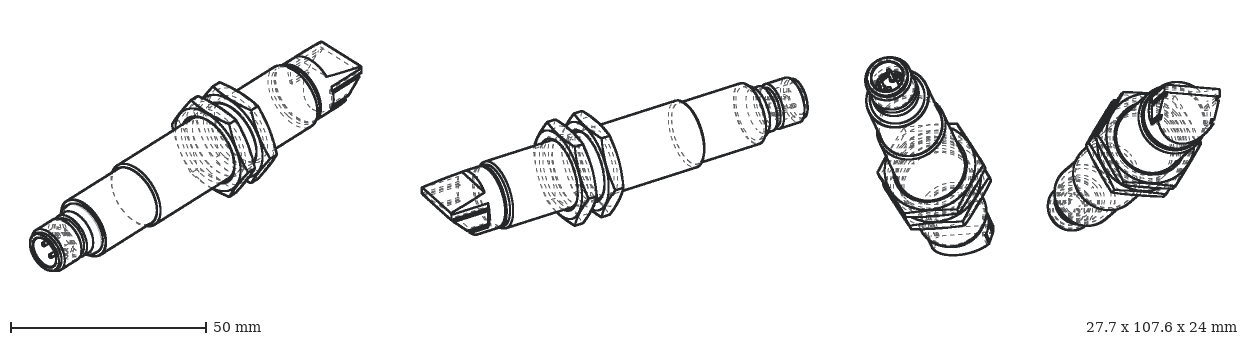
import cadquery as cq
import math

Y_FRONT = -53.8
Y_TIP = 53.8

BARREL_DIA = 18.0
BARREL_START = -20.7
BARREL_END = 36.3
BARREL_CHAMFER = 0.5

SLEEVE_DIA = 16.4
SLEEVE_START = -39.7
SLEEVE_CHAMFER = 0.1

COLLAR_DIA = 14.2
COLLAR_ROUND_START = -40.4
COLLAR_ROUND_RADIUS = 1.9

CONNECTOR_DIA = 12.0
RELIEF_DIA = 10.5
RELIEF_START = -45.7
RELIEF_END = -44.7
RELIEF_FRONT_CHAMFER = 0.5
RELIEF_BACK_CHAMFER = 0.3
TIP_DIA = 10.5
TIP_STEP = -52.8
TIP_CHAMFER = 0.4

SOCKET_DIA = 8.3
SOCKET_FLOOR_DIA = 7.0
SOCKET_SHOULDER_DEPTH = 6.5
SOCKET_MOUTH_DIA = 8.6
SOCKET_DEPTH = 7.5
PIN_DIA = 1.0
PIN_COLLAR_DIA = 1.5
PIN_COLLAR_HEIGHT = 0.5
PIN_CIRCLE_RADIUS = 2.5
PIN_COUNT = 4
PIN_SETBACK = 2.2

HEAD_DIA = 16.6
HEAD_GROOVE_DIA = 16.4
HEAD_GROOVE_START = 37.8
HEAD_GROOVE_END = 38.2
BLADE_START = 42.8
BLADE_WIDTH = 14.8
BLADE_ROOT_TOP = 6.0
BLADE_TIP_TOP = 4.1
BLADE_TIP_BOTTOM = 2.0
SIDE_GROOVE_WIDTH = 0.9
SIDE_GROOVE_DEPTH = 0.8
SIDE_GROOVE_HEIGHTS = (1.7, -3.1)

NUT_ACROSS_FLATS = 24.0
NUT_THICKNESS = 4.0
NUT_STARTS = (5.5, 13.5)
NUT_FACE_DIA = 23.7
NUT_CORNER_DROP = 0.8
NUT_BORE_CHAMFER = 0.6


def revolve_about_y(profile):
    """Revolve a closed (radius, y) profile drawn in the XY plane about the Y axis."""
    return profile.close().revolve(360, (0, 0, 0), (0, 1, 0))


def cylinder_along_y(diameter, start, end):
    return cq.Workplane("XZ", origin=(0, start, 0)).circle(diameter / 2).extrude(start - end)


def turned_blank():
    """Full turned shape, with the head still a plain cylinder."""
    collar_r = COLLAR_DIA / 2
    connector_r = CONNECTOR_DIA / 2
    relief_r = RELIEF_DIA / 2
    tip_r = TIP_DIA / 2
    barrel_r = BARREL_DIA / 2
    sleeve_r = SLEEVE_DIA / 2
    head_r = HEAD_DIA / 2
    groove_r = HEAD_GROOVE_DIA / 2
    drop = collar_r - connector_r
    sweep = math.acos(1 - drop / COLLAR_ROUND_RADIUS)

    def shoulder(angle):
        radius = collar_r - COLLAR_ROUND_RADIUS * (1 - math.cos(angle))
        return (radius, COLLAR_ROUND_START - COLLAR_ROUND_RADIUS * math.sin(angle))

    profile = (
        cq.Workplane("XY")
        .moveTo(0, Y_FRONT)
        .lineTo(tip_r, Y_FRONT)
        .lineTo(tip_r, TIP_STEP)
        .lineTo(connector_r, TIP_STEP + TIP_CHAMFER)
        .lineTo(connector_r, RELIEF_START - RELIEF_FRONT_CHAMFER)
        .lineTo(relief_r, RELIEF_START)
        .lineTo(relief_r, RELIEF_END)
        .lineTo(connector_r, RELIEF_END + RELIEF_BACK_CHAMFER)
        .lineTo(*shoulder(sweep))
        .threePointArc(shoulder(sweep / 2), shoulder(0))
        .lineTo(collar_r, SLEEVE_START)
        .lineTo(sleeve_r - SLEEVE_CHAMFER, SLEEVE_START)
        .lineTo(sleeve_r, SLEEVE_START + SLEEVE_CHAMFER)
        .lineTo(sleeve_r, BARREL_START - BARREL_CHAMFER)
        .lineTo(head_r, BARREL_START - BARREL_CHAMFER)
        .lineTo(barrel_r, BARREL_START)
        .lineTo(barrel_r, BARREL_END)
        .lineTo(head_r, BARREL_END + BARREL_CHAMFER)
        .lineTo(head_r, HEAD_GROOVE_START)
        .lineTo(groove_r, HEAD_GROOVE_START)
        .lineTo(groove_r, HEAD_GROOVE_END)
        .lineTo(head_r, HEAD_GROOVE_END)
        .lineTo(head_r, Y_TIP)
        .lineTo(0, Y_TIP)
    )
    return revolve_about_y(profile)


def cut_blade(body):
    """Shape the head into a blade: sloped top, 45 degree underside, flat sides."""
    head_r = HEAD_DIA / 2
    slope_run = head_r + BLADE_TIP_BOTTOM
    top_waste = (
        cq.Workplane("YZ")
        .polyline([
            (BLADE_START, BLADE_ROOT_TOP),
            (Y_TIP, BLADE_TIP_TOP),
            (Y_TIP, head_r),
            (BLADE_START, head_r),
        ])
        .close()
        .extrude(head_r, both=True)
    )
    bottom_waste = (
        cq.Workplane("YZ")
        .polyline([
            (Y_TIP, BLADE_TIP_BOTTOM),
            (Y_TIP, -head_r),
            (Y_TIP - slope_run, -head_r),
        ])
        .close()
        .extrude(head_r, both=True)
    )
    body = body.cut(top_waste).cut(bottom_waste)

    blade_length = Y_TIP - BLADE_START
    blade_middle = (Y_TIP + BLADE_START) / 2
    for side in (-1, 1):
        flat_waste = (
            cq.Workplane("XY")
            .box(BLADE_WIDTH, blade_length, HEAD_DIA)
            .translate((side * BLADE_WIDTH, blade_middle, 0))
        )
        body = body.cut(flat_waste)
        for height in SIDE_GROOVE_HEIGHTS:
            groove = (
                cq.Workplane("XY")
                .box(2 * SIDE_GROOVE_DEPTH, blade_length, SIDE_GROOVE_WIDTH)
                .translate((side * BLADE_WIDTH / 2, blade_middle, height))
            )
            body = body.cut(groove)
    return body


def cut_socket(body):
    """Bore the connector socket with its countersunk mouth."""
    mouth_r = SOCKET_MOUTH_DIA / 2
    bore_r = SOCKET_DIA / 2
    floor_r = SOCKET_FLOOR_DIA / 2
    shoulder_y = Y_FRONT + SOCKET_SHOULDER_DEPTH
    floor_y = Y_FRONT + SOCKET_DEPTH
    profile = (
        cq.Workplane("XY")
        .moveTo(0, Y_FRONT)
        .lineTo(mouth_r, Y_FRONT)
        .lineTo(bore_r, Y_FRONT + mouth_r - bore_r)
        .lineTo(bore_r, shoulder_y)
        .lineTo(floor_r, shoulder_y)
        .lineTo(floor_r, floor_y)
        .lineTo(0, floor_y)
    )
    return body.cut(revolve_about_y(profile))


def add_pins(body):
    """Contact pins stand on the socket floor and are part of the sensor body."""
    floor_y = Y_FRONT + SOCKET_DEPTH
    root_y = floor_y + PIN_DIA
    collar = cylinder_along_y(PIN_COLLAR_DIA, floor_y - PIN_COLLAR_HEIGHT, root_y)
    pin = cylinder_along_y(PIN_DIA, Y_FRONT + PIN_SETBACK, root_y).union(collar)
    pin = pin.translate((PIN_CIRCLE_RADIUS, 0, 0))
    for index in range(PIN_COUNT):
        body = body.union(pin.rotate((0, 0, 0), (0, 1, 0), index * 360 / PIN_COUNT))
    return body


def make_sensor():
    return add_pins(cut_socket(cut_blade(turned_blank())))


def make_nut(start):
    """Hexagon nut with chamfered corners and a countersunk bore, corners on the X axis."""
    corner_r = NUT_ACROSS_FLATS / math.sqrt(3)
    face_r = NUT_FACE_DIA / 2
    bore_r = BARREL_DIA / 2
    sink_r = bore_r + NUT_BORE_CHAMFER
    end = start + NUT_THICKNESS
    prism = (
        cq.Workplane("XZ", origin=(0, start, 0))
        .polygon(6, 2 * corner_r)
        .extrude(-NUT_THICKNESS)
    )
    ring = revolve_about_y(
        cq.Workplane("XY")
        .moveTo(sink_r, start)
        .lineTo(face_r, start)
        .lineTo(corner_r, start + NUT_CORNER_DROP)
        .lineTo(corner_r, end - NUT_CORNER_DROP)
        .lineTo(face_r, end)
        .lineTo(sink_r, end)
        .lineTo(bore_r, end - NUT_BORE_CHAMFER)
        .lineTo(bore_r, start + NUT_BORE_CHAMFER)
    )
    return prism.intersect(ring)


sensor = make_sensor()
nuts = [make_nut(start) for start in NUT_STARTS]

result = cq.Compound.makeCompound([sensor.val(), *[nut.val() for nut in nuts]])